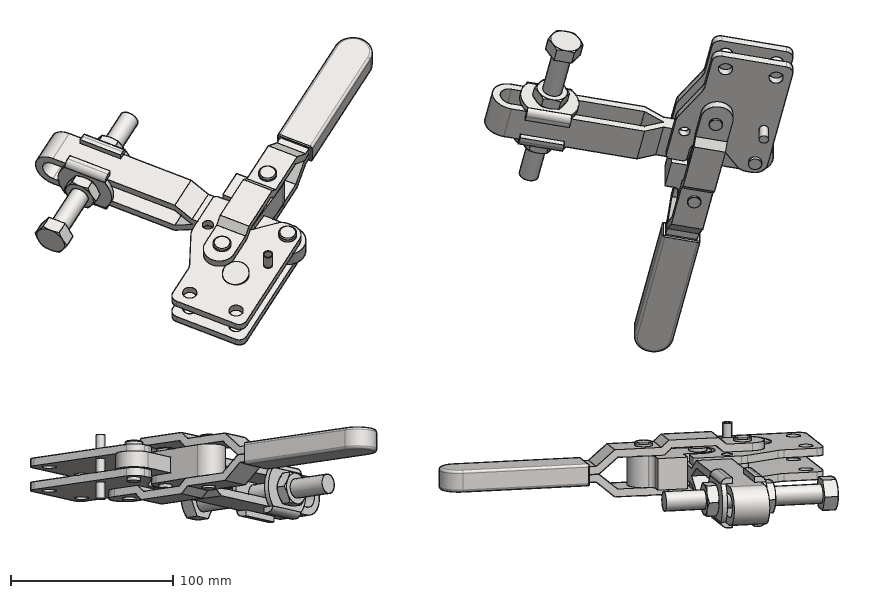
import cadquery as cq
import math


ARM_THICKNESS = 10.0
SHEET = ARM_THICKNESS / 2
PLATE_INNER = ARM_THICKNESS / 2
PLATE_OUTER = PLATE_INNER + SHEET
LEAF_OUTER = PLATE_OUTER + SHEET
PIN_DIAMETER = 7.0
PIN_RADIUS = PIN_DIAMETER / 2

HANDLE_PIVOT = (0, 0)
LINK_PIVOT = (0, 63)
ARM_LINK_PIVOT = (0, 28.5)
ARM_PIVOT = (31.0, 28.5)

HEAD_RADIUS = 5.5
HEAD_CHAMFER = 0.7
TAIL_RADIUS = 4.0
PLATE_PIN_HEAD = 3.0
PLATE_PIN_TAIL = 2.2
HANDLE_PIN_HEAD = 2.2
HANDLE_PIN_TAIL = 1.5

BASE_LEFT = -23.7
BASE_FOOT_LEFT = -11.9
BASE_RIGHT = 39.0
BASE_TOP = 37.0
BASE_BOTTOM = -49.5
WING_FOOT_Y = 4.5
FOOT_TOP_Y = -21.3
FOOT_CORNER_RADIUS = 5.0
SLANT_RADIUS = 10.0
WING_RADIUS = 2.5
EAR_RADIUS = 8.0
VALLEY_RADIUS = 10.7
MOUNT_HOLES = [(-2.5, -39.7), (29.5, -39.7)]
MOUNT_HOLE_RADIUS = 4.4
LOCK_HOLE = (-16.7, 14.0)
LOCK_HOLE_RADIUS = 3.5
STOP_PIN = (30.7, 2.0)
STOP_PIN_RADIUS = 3.0
STOP_PIN_BORE_RADIUS = 2.5
STOP_PIN_LENGTH = 40.0
BADGE = (16.5, -14.0)
BADGE_RADIUS = 8.2
BADGE_LOW = 0.2
BADGE_HIGH = 3.0

ARM_WIDTH = 22.5
ARM_TOP = ARM_PIVOT[1] + ARM_WIDTH / 2
LOOP_OUTER_RADIUS = 12
LOOP_INNER_RADIUS = LOOP_OUTER_RADIUS - SHEET
LOOP_CENTER_X = -125.2
ARM_BEND_START = -41.2
ARM_BEND_END = -29.3

LINK_HANDLE_END_RADIUS = 10.5
LINK_ARM_END_RADIUS = 8.5
LINK_LEFT = -19.4
LINK_SHOULDER_Y = 58.8
LINK_FILLET = 3.1

HANDLE_WIDTH = 19.9
HANDLE_END_CENTER_Y = -3.6
LEAF_GAP = 0.2
JOGGLE_RISE = 4.4
JOGGLE_RUN = 4.8
JOGGLE_LOW_Y = 12.5
JOGGLE_HIGH_Y = 54.2
SPREAD_LOW_Y = 83.8
SPREAD_HIGH_Y = 95.6
GRIP_BOTTOM = 100.2
GRIP_TOP = 192.7
GRIP_WIDTH = 24.0
GRIP_THICKNESS = 13.8
GRIP_FILLET = 1.7
GRIP_MOUTH_CHAMFER = 0.7

SPINDLE_X = -101.7
SPINDLE_RADIUS = 6.0
SPINDLE_TOP = 75.5
SPINDLE_BOTTOM = -33.0
BOLT_HEAD_HEIGHT = 9.0
HEX_FLATS = 19.1
HEX_CORNERS = HEX_FLATS / math.cos(math.pi / 6)
HEX_CHAMFER_HEIGHT = 0.7
HEX_CHAMFER_REACH = (HEX_CORNERS - HEX_FLATS) / 2
NUT_HEIGHT = 7.3
WASHER_RADIUS = 18.5
WASHER_THICKNESS = 3.1
LIP_WIDTH = 27.8
LIP_DEPTH = 7.3
LIP_THICKNESS = 3.6
LIP_FILLET = 4.4


def cylinder(center, radius, z_low, z_high):
    """Upright cylinder between two heights."""
    return cq.Workplane("XY", origin=(*center, z_low)).circle(radius).extrude(z_high - z_low)


def pin(center, seat, head_height, tail_height):
    """Pivot pin with a chamfered head above +seat and a smaller tail below -seat."""
    shank = cylinder(center, PIN_RADIUS, -seat, seat)
    head = cylinder(center, HEAD_RADIUS, seat, seat + head_height).faces(">Z").chamfer(HEAD_CHAMFER)
    tail = cylinder(center, TAIL_RADIUS, -seat - tail_height, -seat)
    return shank.union(head).union(tail)


def base_plate():
    """Upper plate, with a valley around the link between its wing and its ear."""
    link_x, link_y = ARM_LINK_PIVOT
    diagonal = VALLEY_RADIUS * math.sqrt(0.5)
    slope_end_x = link_x + VALLEY_RADIUS * math.sqrt(2) + BASE_TOP - link_y
    outline = (
        cq.Workplane("XY", origin=(0, 0, PLATE_INNER))
        .moveTo(BASE_FOOT_LEFT, BASE_BOTTOM)
        .lineTo(BASE_RIGHT, BASE_BOTTOM)
        .lineTo(BASE_RIGHT, BASE_TOP)
        .lineTo(slope_end_x, BASE_TOP)
        .lineTo(link_x + diagonal, link_y - diagonal)
        .threePointArc((link_x, link_y - VALLEY_RADIUS), (link_x - VALLEY_RADIUS, link_y))
        .lineTo(link_x - VALLEY_RADIUS, BASE_TOP)
        .lineTo(BASE_LEFT, BASE_TOP)
        .lineTo(BASE_LEFT, WING_FOOT_Y)
        .lineTo(BASE_FOOT_LEFT, FOOT_TOP_Y)
        .close()
    )
    plate = outline.extrude(SHEET)
    corners = [
        (BASE_FOOT_LEFT, BASE_BOTTOM, FOOT_CORNER_RADIUS),
        (BASE_RIGHT, BASE_BOTTOM, FOOT_CORNER_RADIUS),
        (BASE_FOOT_LEFT, FOOT_TOP_Y, SLANT_RADIUS),
        (BASE_LEFT, WING_FOOT_Y, SLANT_RADIUS),
        (BASE_LEFT, BASE_TOP, WING_RADIUS),
        (link_x - VALLEY_RADIUS, BASE_TOP, WING_RADIUS),
        (BASE_RIGHT, BASE_TOP, EAR_RADIUS),
        (slope_end_x, BASE_TOP, EAR_RADIUS),
    ]
    for x, y, radius in corners:
        plate = plate.edges(cq.NearestToPointSelector((x, y, PLATE_INNER + SHEET / 2))).fillet(radius)

    for hole in MOUNT_HOLES:
        plate = plate.cut(cylinder(hole, MOUNT_HOLE_RADIUS, PLATE_INNER, PLATE_OUTER))
    plate = plate.cut(cylinder(LOCK_HOLE, LOCK_HOLE_RADIUS, PLATE_INNER, PLATE_OUTER))
    return plate.cut(cylinder(HANDLE_PIVOT, PIN_RADIUS, PLATE_INNER, PLATE_OUTER))


def stop_pin():
    """Cross pin with a blind bore in its upper projecting end."""
    half_length = STOP_PIN_LENGTH / 2
    body = cylinder(STOP_PIN, STOP_PIN_RADIUS, -half_length, half_length)
    return body.cut(cylinder(STOP_PIN, STOP_PIN_BORE_RADIUS, PLATE_OUTER, half_length))


def badge():
    """Round button whose top face rises toward +Y."""
    x, y = BADGE
    wedge = (
        cq.Workplane("YZ", origin=(x, y, PLATE_OUTER))
        .moveTo(-BADGE_RADIUS, 0)
        .lineTo(BADGE_RADIUS, 0)
        .lineTo(BADGE_RADIUS, BADGE_HIGH)
        .lineTo(-BADGE_RADIUS, BADGE_LOW)
        .close()
        .extrude(BADGE_RADIUS, both=True)
    )
    return cylinder(BADGE, BADGE_RADIUS, PLATE_OUTER, PLATE_OUTER + BADGE_HIGH).intersect(wedge)


def make_base():
    upper = base_plate()
    base = upper.union(pin(ARM_PIVOT, PLATE_OUTER, PLATE_PIN_HEAD, PLATE_PIN_TAIL))
    return base.union(upper.mirror("XY")).union(stop_pin()).union(badge())


def make_arm():
    half = ARM_THICKNESS / 2
    pivot_x, pivot_y = ARM_PIVOT
    section = cq.Workplane("XZ", origin=(0, pivot_y, 0))
    outer = (
        section.moveTo(LOOP_CENTER_X, LOOP_OUTER_RADIUS)
        .lineTo(ARM_BEND_START, LOOP_OUTER_RADIUS)
        .lineTo(ARM_BEND_END, half)
        .lineTo(pivot_x, half)
        .lineTo(pivot_x, -half)
        .lineTo(ARM_BEND_END, -half)
        .lineTo(ARM_BEND_START, -LOOP_OUTER_RADIUS)
        .lineTo(LOOP_CENTER_X, -LOOP_OUTER_RADIUS)
        .threePointArc((LOOP_CENTER_X - LOOP_OUTER_RADIUS, 0), (LOOP_CENTER_X, LOOP_OUTER_RADIUS))
        .close()
        .extrude(ARM_WIDTH / 2, both=True)
    )
    window = (
        section.moveTo(LOOP_CENTER_X, LOOP_INNER_RADIUS)
        .lineTo(ARM_BEND_START, LOOP_INNER_RADIUS)
        .lineTo(ARM_BEND_END, 0)
        .lineTo(ARM_BEND_START, -LOOP_INNER_RADIUS)
        .lineTo(LOOP_CENTER_X, -LOOP_INNER_RADIUS)
        .threePointArc((LOOP_CENTER_X - LOOP_INNER_RADIUS, 0), (LOOP_CENTER_X, LOOP_INNER_RADIUS))
        .close()
        .extrude(ARM_WIDTH / 2, both=True)
    )
    arm = outer.cut(window).union(cylinder(ARM_PIVOT, ARM_WIDTH / 2, -half, half))
    for pivot in (ARM_PIVOT, ARM_LINK_PIVOT):
        arm = arm.cut(cylinder(pivot, PIN_RADIUS, -half, half))
    return arm


def make_link():
    handle_x, handle_y = LINK_PIVOT
    arm_x, arm_y = ARM_LINK_PIVOT
    floor = cq.Workplane("XY", origin=(0, 0, -PLATE_OUTER))
    taper = math.asin((LINK_HANDLE_END_RADIUS - LINK_ARM_END_RADIUS) / (handle_y - arm_y))
    handle_half = LINK_HANDLE_END_RADIUS * math.cos(taper)
    handle_tangent_y = handle_y - LINK_HANDLE_END_RADIUS * math.sin(taper)
    arm_half = LINK_ARM_END_RADIUS * math.cos(taper)
    arm_tangent_y = arm_y - LINK_ARM_END_RADIUS * math.sin(taper)
    bar = (
        floor.moveTo(arm_x + arm_half, arm_tangent_y)
        .lineTo(handle_x + handle_half, handle_tangent_y)
        .threePointArc(
            (handle_x, handle_y + LINK_HANDLE_END_RADIUS),
            (handle_x - handle_half, handle_tangent_y),
        )
        .lineTo(arm_x - arm_half, arm_tangent_y)
        .threePointArc((arm_x, arm_y - LINK_ARM_END_RADIUS), (arm_x + arm_half, arm_tangent_y))
        .close()
        .extrude(2 * PLATE_OUTER)
    )
    shoulder = (
        floor.moveTo(LINK_LEFT, ARM_TOP)
        .lineTo(arm_x, ARM_TOP)
        .lineTo(arm_x, LINK_SHOULDER_Y)
        .lineTo(LINK_LEFT, LINK_SHOULDER_Y)
        .close()
        .extrude(2 * PLATE_OUTER)
    )
    inner_corner = cq.NearestToPointSelector((handle_x - handle_half, LINK_SHOULDER_Y, 0))
    link = bar.union(shoulder).edges(inner_corner).fillet(LINK_FILLET)

    fork_slot = cq.Workplane("XY").box(4 * LINK_ARM_END_RADIUS, ARM_WIDTH, ARM_THICKNESS)
    fork_slot = fork_slot.translate((arm_x, arm_y, 0))
    link = link.cut(fork_slot)
    link = link.cut(cylinder(LINK_PIVOT, PIN_RADIUS, -PLATE_OUTER, PLATE_OUTER))
    return link.union(pin(ARM_LINK_PIVOT, PLATE_OUTER, PLATE_PIN_HEAD, PLATE_PIN_TAIL))


def handle_leaf():
    """Upper leaf: joggled over the arm pin heads, then bent in to the middle plane."""
    joggle_shift = SHEET * math.tan(math.atan2(JOGGLE_RISE, JOGGLE_RUN) / 2)
    spread_drop = LEAF_OUTER - SHEET
    spread_shift = SHEET * math.tan(math.atan2(spread_drop, SPREAD_HIGH_Y - SPREAD_LOW_Y) / 2)
    end_y = HANDLE_END_CENTER_Y - HANDLE_WIDTH / 2

    bends = [
        (JOGGLE_LOW_Y, LEAF_OUTER, joggle_shift),
        (JOGGLE_LOW_Y + JOGGLE_RUN, LEAF_OUTER + JOGGLE_RISE, joggle_shift),
        (JOGGLE_HIGH_Y - JOGGLE_RUN, LEAF_OUTER + JOGGLE_RISE, -joggle_shift),
        (JOGGLE_HIGH_Y, LEAF_OUTER, -joggle_shift),
        (SPREAD_LOW_Y, LEAF_OUTER, -spread_shift),
        (SPREAD_HIGH_Y, SHEET, -spread_shift),
    ]
    outer = [(end_y, LEAF_OUTER)] + [(y, z) for y, z, _ in bends] + [(GRIP_BOTTOM, SHEET)]
    inner = [(end_y, PLATE_OUTER)] + [(y + shift, z - SHEET) for y, z, shift in bends] + [(GRIP_BOTTOM, 0)]
    strip = cq.Workplane("YZ").polyline(outer + inner[::-1]).close().extrude(HANDLE_WIDTH / 2, both=True)

    length = GRIP_TOP - end_y
    rounded_outline = (
        cq.Workplane("XY")
        .center(0, end_y + length / 2)
        .slot2D(length, HANDLE_WIDTH, 90)
        .extrude(LEAF_OUTER + JOGGLE_RISE)
    )
    gap = cq.Workplane("XY").box(HANDLE_WIDTH, 2 * GRIP_BOTTOM, LEAF_GAP)
    return strip.intersect(rounded_outline).cut(gap)


def handle_grip():
    """Round-ended bar with softened long edges and a chamfered mouth."""
    tip_center_y = GRIP_TOP - GRIP_WIDTH / 2
    half_width = GRIP_WIDTH / 2
    grip = (
        cq.Workplane("XY", origin=(0, 0, -GRIP_THICKNESS / 2))
        .moveTo(-half_width, GRIP_BOTTOM)
        .lineTo(half_width, GRIP_BOTTOM)
        .lineTo(half_width, tip_center_y)
        .threePointArc((0, GRIP_TOP), (-half_width, tip_center_y))
        .close()
        .extrude(GRIP_THICKNESS)
    )
    grip = grip.faces("<Y").chamfer(GRIP_MOUTH_CHAMFER)
    return grip.faces("<Z or >Z").edges("not <Y").fillet(GRIP_FILLET)


def make_handle():
    leaf = handle_leaf()
    handle = handle_grip().union(leaf).union(leaf.mirror("XY"))
    for pivot in (HANDLE_PIVOT, LINK_PIVOT):
        handle = handle.union(pin(pivot, LEAF_OUTER, HANDLE_PIN_HEAD, HANDLE_PIN_TAIL))
    return handle


def hexagon(y_low, height, chamfered_ends):
    """Hexagonal prism along Y, its corners cut back by a cone on the chosen ends."""
    end = cq.Workplane("XZ", origin=(SPINDLE_X, y_low + height, 0))
    corner_cone = end.circle(HEX_CORNERS / 2).extrude(height)
    corner_cone = corner_cone.faces(chamfered_ends).chamfer(HEX_CHAMFER_HEIGHT, HEX_CHAMFER_REACH)
    return end.polygon(6, HEX_CORNERS).extrude(height).intersect(corner_cone)


def lipped_washer():
    """Washer for the upper edge of the arm, with a lip over each leg of the loop."""
    outer_y = ARM_TOP + WASHER_THICKNESS
    lip_outer = LOOP_OUTER_RADIUS + LIP_THICKNESS
    disc = (
        cq.Workplane("XZ", origin=(SPINDLE_X, outer_y, 0))
        .circle(WASHER_RADIUS)
        .extrude(WASHER_THICKNESS)
    )
    band = cq.Workplane("XY").box(2 * WASHER_RADIUS, 2 * WASHER_THICKNESS, 2 * LOOP_OUTER_RADIUS)
    washer = disc.intersect(band.translate((SPINDLE_X, ARM_TOP, 0)))

    bracket = cq.Workplane("XY").box(LIP_WIDTH, LIP_DEPTH, 2 * lip_outer)
    bracket = bracket.translate((SPINDLE_X, outer_y - LIP_DEPTH / 2, 0))
    bracket = bracket.faces(">Y").edges("|X").fillet(LIP_FILLET)
    seat = cq.Workplane("XY").box(LIP_WIDTH, LIP_DEPTH, 2 * LOOP_OUTER_RADIUS)
    bracket = bracket.cut(seat.translate((SPINDLE_X, ARM_TOP - LIP_DEPTH / 2, 0)))
    return washer.union(bracket)


def make_spindle():
    arm_center_y = ARM_PIVOT[1]
    arm_bottom = arm_center_y - ARM_WIDTH / 2
    bolt = (
        cq.Workplane("XZ", origin=(SPINDLE_X, SPINDLE_TOP, 0))
        .circle(SPINDLE_RADIUS)
        .extrude(SPINDLE_TOP - SPINDLE_BOTTOM)
    )
    bolt_head = hexagon(SPINDLE_BOTTOM, BOLT_HEAD_HEIGHT, "<Y")
    upper_nut = hexagon(ARM_TOP + WASHER_THICKNESS, NUT_HEIGHT, "<Y or >Y")
    lower_nut = hexagon(arm_bottom - WASHER_THICKNESS - NUT_HEIGHT, NUT_HEIGHT, "<Y or >Y")
    upper_washer = lipped_washer()
    lower_washer = upper_washer.mirror("XZ", (0, arm_center_y, 0))
    return bolt.union(bolt_head).union(upper_nut).union(lower_nut).union(upper_washer).union(lower_washer)


base = make_base()
arm = make_arm()
link = make_link()
handle = make_handle()
spindle = make_spindle()

result = cq.Compound.makeCompound([body.solids().val() for body in (base, arm, link, handle, spindle)])